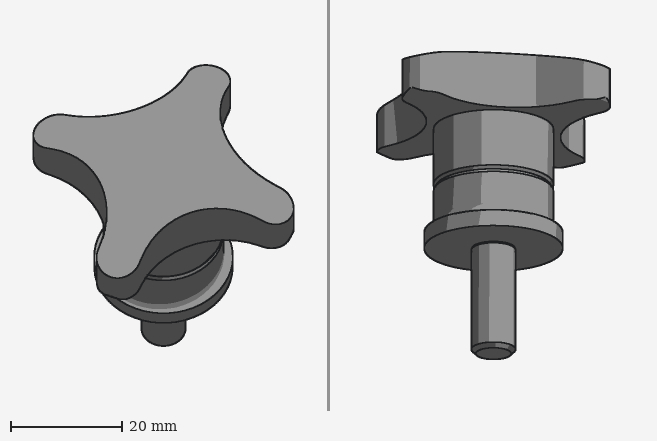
import cadquery as cq
import math

total_height = 54.0
flange_bottom = 20.05
flange_top = 23.05
groove_center = 31.55
head_bottom = 42.65

stud_radius = 4.0
stud_end_chamfer = 0.8
stud_root_chamfer_height = 0.3
stud_root_chamfer_depth = 0.15
flange_radius = 12.5
body_radius = 10.8
flare_radius = 1.8
flare_width = 1.5
groove_width = 1.25
groove_depth = 0.4

head_radius = 25.0
dome_radius = 71.3
head_bottom_fillet = 1.0
arm_half_width = 4.0
arm_count = 4
arm_straight_length = 0.75


def make_stem():
    """Stud, flange, flared body and groove, revolved about the Z axis."""
    stud_tip_radius = stud_radius - stud_end_chamfer
    stud_root_radius = stud_radius - stud_root_chamfer_depth
    flare_foot_radius = body_radius + flare_width
    flare_top = flange_top + flare_radius
    flare_mid = (
        flare_foot_radius - flare_width * math.sqrt(0.5),
        flare_top - flare_radius * math.sqrt(0.5),
    )
    profile = (
        cq.Workplane("XZ")
        .lineTo(stud_tip_radius, 0)
        .lineTo(stud_radius, stud_end_chamfer)
        .lineTo(stud_radius, flange_bottom - stud_root_chamfer_height)
        .lineTo(stud_root_radius, flange_bottom)
        .lineTo(flange_radius, flange_bottom)
        .lineTo(flange_radius, flange_top)
        .lineTo(flare_foot_radius, flange_top)
        .threePointArc(flare_mid, (body_radius, flare_top))
        .lineTo(body_radius, groove_center - groove_width / 2)
        .lineTo(body_radius - groove_depth, groove_center)
        .lineTo(body_radius, groove_center + groove_width / 2)
        .lineTo(body_radius, head_bottom)
        .lineTo(0, head_bottom)
        .close()
    )
    return profile.revolve(360, (0, 0, 0), (0, 1, 0))


def make_head_blank():
    """Round head with a spherical top and a rounded lower rim."""
    dome_center = total_height - dome_radius
    rim_top = dome_center + math.sqrt(dome_radius**2 - head_radius**2)
    mid_radius = head_radius / 2
    mid_height = dome_center + math.sqrt(dome_radius**2 - mid_radius**2)
    fillet_offset = head_bottom_fillet * (1 - math.sqrt(0.5))
    profile = (
        cq.Workplane("XZ")
        .moveTo(0, head_bottom)
        .lineTo(head_radius - head_bottom_fillet, head_bottom)
        .threePointArc(
            (head_radius - fillet_offset, head_bottom + fillet_offset),
            (head_radius, head_bottom + head_bottom_fillet),
        )
        .lineTo(head_radius, rim_top)
        .threePointArc((mid_radius, mid_height), (0, total_height))
        .close()
    )
    return profile.revolve(360, (0, 0, 0), (0, 1, 0))


def make_star_prism():
    """Four round-ended arms joined by concave arcs, as a straight prism."""
    arm_tip_center = head_radius - arm_half_width
    scallop_center = arm_tip_center - arm_straight_length
    scallop_radius = scallop_center - arm_half_width
    scallop_mid = scallop_center - scallop_radius * math.sqrt(0.5)

    def turned(x, y, arm):
        angle = arm * 2 * math.pi / arm_count
        return (
            x * math.cos(angle) - y * math.sin(angle),
            x * math.sin(angle) + y * math.cos(angle),
        )

    outline = cq.Workplane("XY").workplane(offset=head_bottom).moveTo(scallop_center, -arm_half_width)
    for arm in range(arm_count):
        outline = (
            outline.lineTo(*turned(arm_tip_center, -arm_half_width, arm))
            .threePointArc(
                turned(head_radius, 0, arm),
                turned(arm_tip_center, arm_half_width, arm),
            )
            .lineTo(*turned(scallop_center, arm_half_width, arm))
            .threePointArc(
                turned(scallop_mid, scallop_mid, arm),
                turned(arm_half_width, scallop_center, arm),
            )
        )
    return outline.close().extrude(total_height - head_bottom)


head = make_head_blank().intersect(make_star_prism())
result = make_stem().union(head)